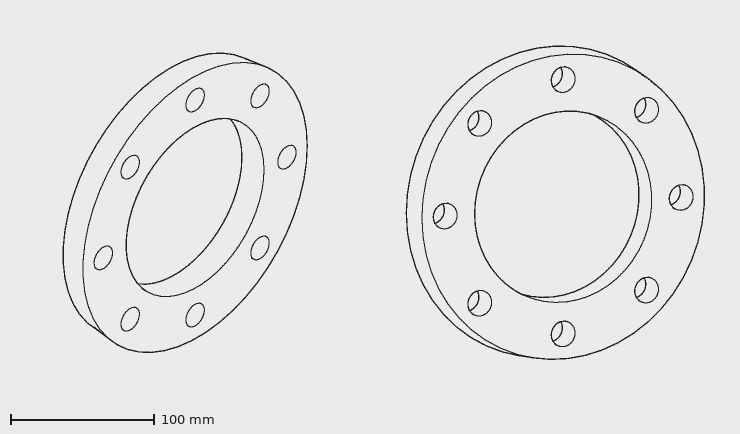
import cadquery as cq

thickness = 22.0
outer_diameter = 220.0
rim_taper_slope = 1 / 10
bore_diameter = 135.0
bolt_circle_diameter = 180.0
bolt_hole_diameter = 18.0
bolt_hole_count = 8

taper_inset = thickness * rim_taper_slope
large_radius = outer_diameter / 2
small_radius = large_radius - taper_inset
bore_radius = bore_diameter / 2


def flange_ring():
    """Ring with a conical rim and a straight bore, small face at X = 0."""
    half_section = (
        cq.Workplane("XY")
        .moveTo(0, bore_radius)
        .lineTo(thickness, bore_radius)
        .lineTo(thickness, large_radius)
        .lineTo(0, small_radius)
        .close()
    )
    return half_section.revolve(360, (0, 0, 0), (1, 0, 0))


def bolt_holes():
    """Through holes spaced evenly on the bolt circle, the first on the Y axis."""
    return (
        cq.Workplane("YZ")
        .polarArray(bolt_circle_diameter / 2, 0, 360, bolt_hole_count)
        .circle(bolt_hole_diameter / 2)
        .extrude(thickness)
    )


result = flange_ring().cut(bolt_holes())